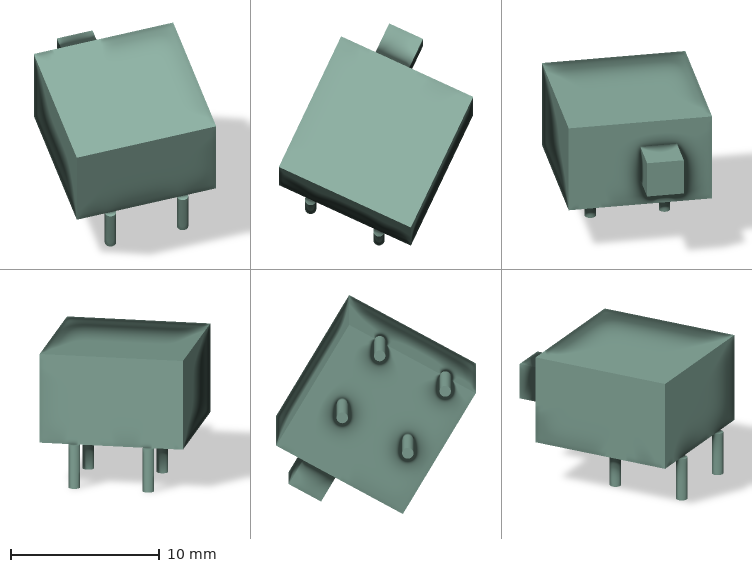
import cadquery as cq

body_length = 9.89
body_width = 9.8
body_height = 6.17

button_side = 2.5
button_travel = 2.5

pin_diameter = 0.77
pin_length = 3.0
pin_pitch = 5.07


def make_body():
    """Housing with its -X face at X = 0, centred on Y, standing on Z = 0."""
    return cq.Workplane("XY").box(
        body_length, body_width, body_height, centered=(False, True, False)
    )


def make_button():
    """Button at mid height, with its +Y side on the housing's centre plane."""
    return cq.Workplane("XY").box(button_travel, button_side, button_side).translate(
        (-button_travel / 2, -button_side / 2, body_height / 2)
    )


def make_pins():
    """Two rows of pins; the rear row is centred on the edge of the +X face."""
    pin_centres = [
        (x, y)
        for x in (body_length - pin_pitch, body_length)
        for y in (-pin_pitch / 2, pin_pitch / 2)
    ]
    return (
        cq.Workplane("XY")
        .pushPoints(pin_centres)
        .circle(pin_diameter / 2)
        .extrude(-pin_length)
    )


result = make_body().union(make_button()).union(make_pins())